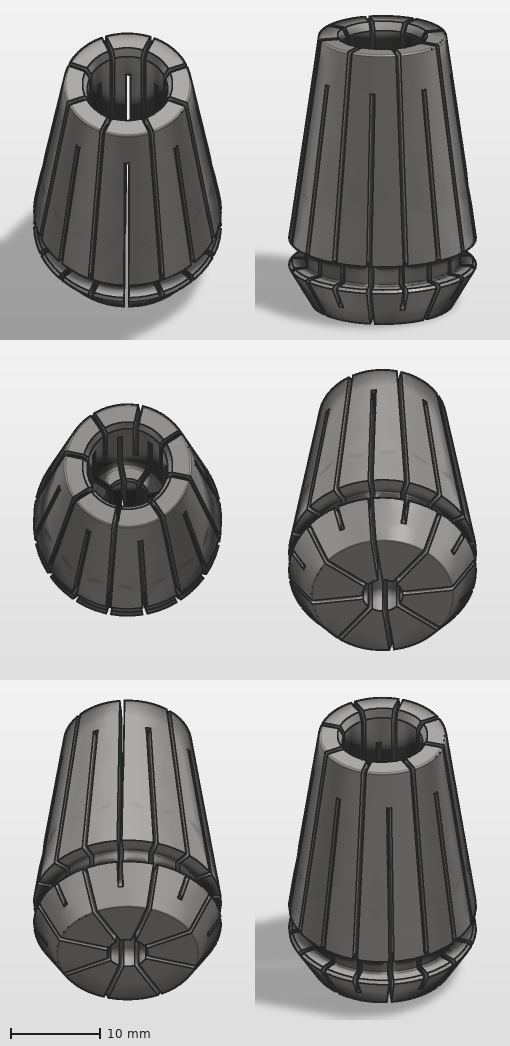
import cadquery as cq
import math

length = 31.5
max_radius = 10.5
top_rim_fillet = 0.22
nose_rim_fillet = 0.13

nose_half_angle = 30.0
flange_edge_z = 4.45
flange_chamfer = 0.35
nose_radius = max_radius - flange_edge_z * math.tan(math.radians(nose_half_angle))

groove_radius = 8.73
groove_top_z = 7.62
groove_fillet = 0.2
flange_top_z = flange_edge_z + flange_chamfer

taper_half_angle = 8.0
taper_height = length - groove_top_z
top_radius = max_radius - taper_height * math.tan(math.radians(taper_half_angle))

clamping_diameter = 4.5
clamping_length = 15.75
clamping_chamfer = 0.25
relief_diameter = 9.0
relief_fillet = 0.72
relief_chamfer_width = 0.55
relief_chamfer_depth = 0.95

slot_width = 0.55
slots_per_set = 8
slot_pitch = 360.0 / slots_per_set
nose_slot_end_z = 27.05
tail_slot_end_z = 2.0
tail_slot_floor_angle = 15.0
cut_clearance = 1.58


def collet_blank():
    """Solid of revolution with the nose cone, groove and long taper."""
    outline = [
        (0, 0),
        (nose_radius, 0),
        (max_radius, flange_edge_z),
        (max_radius - flange_chamfer, flange_top_z),
        (groove_radius, flange_top_z),
        (groove_radius, groove_top_z),
        (max_radius, groove_top_z),
        (top_radius, length),
        (0, length),
    ]
    blank = cq.Workplane("XZ").polyline(outline).close().revolve(360, (0, 0), (0, 1))
    corner_reach = groove_radius + groove_fillet
    groove_corners = cq.selectors.BoxSelector(
        (-corner_reach, -corner_reach, flange_top_z - groove_fillet),
        (corner_reach, corner_reach, groove_top_z + groove_fillet),
        boundingbox=True,
    )
    blank = blank.edges(groove_corners).edges("%CIRCLE").fillet(groove_fillet)
    blank = blank.faces(">Z").edges().fillet(top_rim_fillet)
    return blank.faces("<Z").edges().fillet(nose_rim_fillet)


def stepped_bore():
    """Cutter for the clamping bore and the wider relief bore above it."""
    clamping_radius = clamping_diameter / 2
    relief_radius = relief_diameter / 2
    return (
        cq.Workplane("XZ")
        .lineTo(clamping_radius, 0)
        .lineTo(clamping_radius, clamping_length - clamping_chamfer)
        .lineTo(clamping_radius + clamping_chamfer, clamping_length)
        .lineTo(relief_radius - relief_fillet, clamping_length)
        .radiusArc((relief_radius, clamping_length + relief_fillet), -relief_fillet)
        .lineTo(relief_radius, length - relief_chamfer_depth)
        .lineTo(relief_radius + relief_chamfer_width, length)
        .lineTo(0, length)
        .close()
        .revolve(360, (0, 0), (0, 1))
    )


def nose_slot():
    """Radial slot from the nose, open to the bore, with a flat end."""
    reach = max_radius + cut_clearance
    return cq.Workplane("XY").box(reach, slot_width, nose_slot_end_z, centered=(False, True, False))


def tail_slot():
    """Radial slot from the tail whose sloping floor runs out on the nose cone."""
    slope = math.tan(math.radians(tail_slot_floor_angle))
    runout_radius = nose_radius + tail_slot_end_z * math.tan(math.radians(nose_half_angle))
    floor_top_radius = runout_radius - (length - tail_slot_end_z) * slope
    reach = max_radius + cut_clearance
    outline = [
        (runout_radius, tail_slot_end_z),
        (floor_top_radius, length),
        (reach, length),
        (reach, tail_slot_end_z),
    ]
    return cq.Workplane("XZ").polyline(outline).close().extrude(slot_width / 2, both=True)


def around_axis(cutter, start_angle):
    """Copies of a cutter, equally spaced around Z."""
    copies = cq.Workplane("XY")
    for index in range(slots_per_set):
        angle = start_angle + index * slot_pitch
        copies = copies.add(cutter.rotate((0, 0, 0), (0, 0, 1), angle))
    return copies.combine()


result = collet_blank().cut(stepped_bore())
result = result.cut(around_axis(nose_slot(), 0))
result = result.cut(around_axis(tail_slot(), slot_pitch / 2))